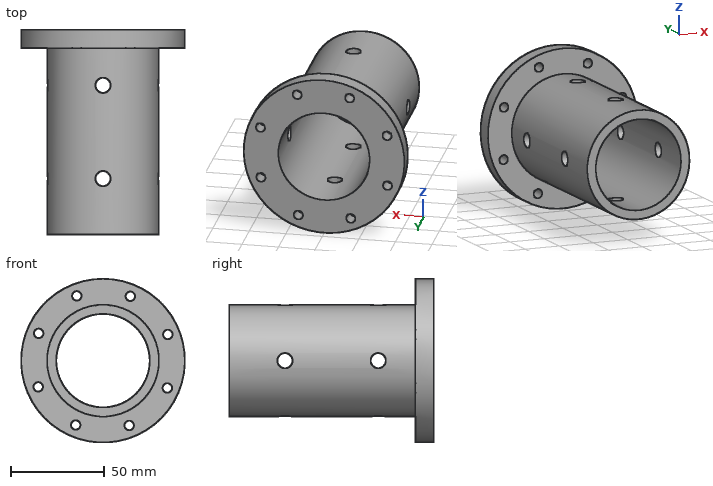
import cadquery as cq

total_length = 110.0
flange_diameter = 88.0
flange_thickness = 10.0
tube_outer_diameter = 60.1
tube_bore_diameter = 50.0

bolt_hole_diameter = 5.0
bolt_circle_diameter = 75.0
bolt_hole_count = 8
first_bolt_angle = 22.0

cross_hole_diameter = 8.0
cross_hole_end_distance = 30.0
cross_hole_spacing = 50.0

flange_start = total_length - flange_thickness


def cylinder(diameter, start, length):
    """Cylinder along +Y whose first face lies at Y = start."""
    axis_start = cq.Vector(0, start, 0)
    return cq.Workplane(cq.Solid.makeCylinder(diameter / 2, length, axis_start, cq.Vector(0, 1, 0)))


def bolt_holes():
    """Ring of plain holes through the flange."""
    return (
        cq.Workplane("XZ", origin=(0, flange_start, 0))
        .polarArray(bolt_circle_diameter / 2, first_bolt_angle, 360, bolt_hole_count)
        .circle(bolt_hole_diameter / 2)
        .extrude(-flange_thickness)
    )


def cross_holes(plane, y):
    """Hole passing through both walls of the tube, normal to the given plane."""
    return (
        cq.Workplane(plane, origin=(0, y, 0))
        .circle(cross_hole_diameter / 2)
        .extrude(tube_outer_diameter, both=True)
    )


tube = cylinder(tube_outer_diameter, 0, total_length)
flange = cylinder(flange_diameter, flange_start, flange_thickness)
bore = cylinder(tube_bore_diameter, 0, total_length)

result = tube.union(flange).cut(bore).cut(bolt_holes())

for y in (cross_hole_end_distance, cross_hole_end_distance + cross_hole_spacing):
    for plane in ("XY", "YZ"):
        result = result.cut(cross_holes(plane, y))